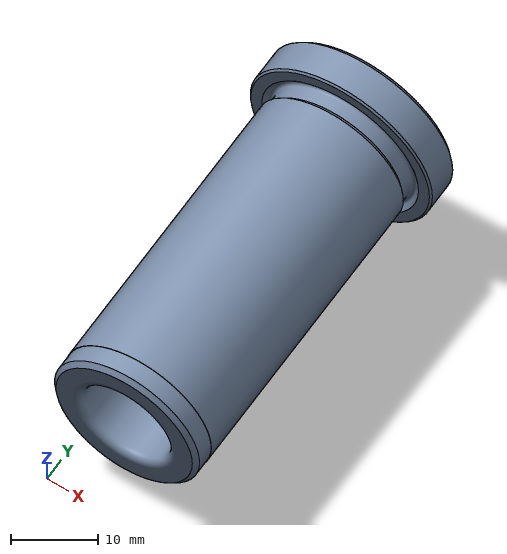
import cadquery as cq

length = 50.0
head_diameter = 25.0
head_thickness = 5.0
head_chamfer = 0.5
head_front_chamfer = 0.25
body_diameter = 20.0
lead_diameter = 19.9
lead_length = 3.0
end_chamfer = 0.6
neck_diameter = 19.0
neck_length = 1.5
undercut_diameter = 21.5
undercut_fillet = 0.45
bore_diameter = 12.0
bore_mouth_radius = 1.0

head_radius = head_diameter / 2
body_radius = body_diameter / 2
lead_radius = lead_diameter / 2
neck_radius = neck_diameter / 2
undercut_radius = undercut_diameter / 2
bore_radius = bore_diameter / 2
head_front = length / 2 - head_thickness
neck_front = head_front - neck_length
body_start = neck_front - (body_radius - neck_radius)
back = length / 2
front = -length / 2


def turned_profile():
    """Half section of the bushing, X as radius and Y along the axis."""
    mouth_radius = bore_radius + bore_mouth_radius
    mouth_mid = bore_mouth_radius * (1 - 0.5 ** 0.5)
    diagonal = undercut_fillet * 0.5 ** 0.5
    cove_radius = neck_radius + undercut_fillet
    cove_y = head_front + undercut_radius - cove_radius - 2 * diagonal
    return (
        cq.Workplane("XY")
        .moveTo(mouth_radius, front)
        .lineTo(lead_radius - end_chamfer, front)
        .lineTo(lead_radius, front + end_chamfer)
        .lineTo(lead_radius, front + lead_length)
        .lineTo(body_radius, front + lead_length)
        .lineTo(body_radius, body_start)
        .lineTo(neck_radius, neck_front)
        .lineTo(neck_radius, cove_y)
        .threePointArc((cove_radius, cove_y + undercut_fillet), (cove_radius + diagonal, cove_y + diagonal))
        .lineTo(undercut_radius, head_front)
        .lineTo(head_radius - head_front_chamfer, head_front)
        .lineTo(head_radius, head_front + head_front_chamfer)
        .lineTo(head_radius, back - head_chamfer)
        .lineTo(head_radius - head_chamfer, back)
        .lineTo(bore_radius, back)
        .lineTo(bore_radius, front + bore_mouth_radius)
        .threePointArc((bore_radius + mouth_mid, front + mouth_mid), (mouth_radius, front))
        .close()
    )


result = turned_profile().revolve(360, (0, 0, 0), (0, 1, 0))